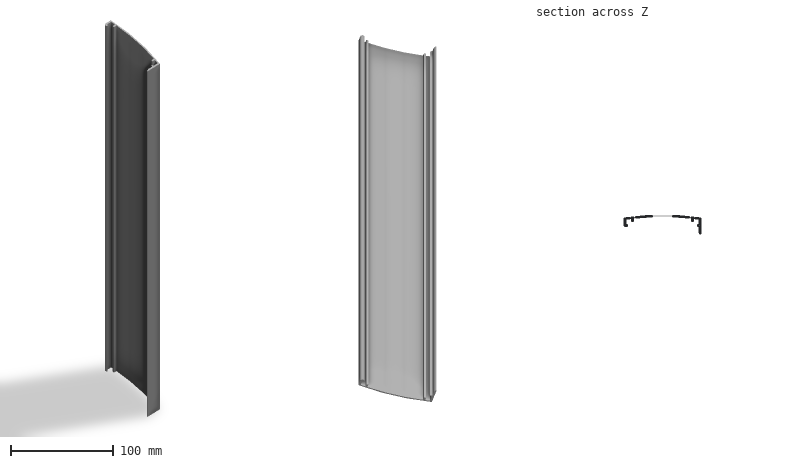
import cadquery as cq

length = 500.0
width = 75.0
depth = 18.5
wall = 2.0
web_thickness = 1.5
crown_rise = 3.0
short_leg_tip = -11.5
hook_top = -9.0
hook_peak = -10.5
hook_bottom = -11.5
hook_reach = 2.0
short_tip_bevel = 1.5
long_tip_bevel = 2.5
long_tip_width = 1.0
rib_offset = 7.0
rib_width = 2.0
rib_bottom = -6.5

half = width / 2
inner = half - wall
hook = inner - hook_reach
web_corner = -crown_rise


def extrude_outline(outline):
    return outline.close().extrude(length)


def make_web():
    """Arched web with equal thickness at its crown and corners."""
    outline = (
        cq.Workplane("XY")
        .moveTo(-half, web_corner)
        .threePointArc((0, 0), (half, web_corner))
        .lineTo(half, web_corner - web_thickness)
        .threePointArc((0, -web_thickness), (-half, web_corner - web_thickness))
    )
    return extrude_outline(outline)


def make_short_leg():
    """Left leg, ending in an inward snap hook."""
    outline = cq.Workplane("XY").polyline([
        (-half, web_corner),
        (-inner, web_corner),
        (-inner, hook_top),
        (-hook, hook_peak),
        (-inner, short_leg_tip),
        (-half + short_tip_bevel, short_leg_tip),
        (-half, short_leg_tip + short_tip_bevel),
    ])
    return extrude_outline(outline)


def make_long_leg():
    """Right leg, with a snap hook part way down and a tapered tip."""
    outline = cq.Workplane("XY").polyline([
        (half, web_corner),
        (inner, web_corner),
        (inner, hook_top),
        (hook, hook_peak),
        (inner, hook_bottom),
        (inner, -depth + long_tip_bevel),
        (half - long_tip_width, -depth),
        (half, -depth),
    ])
    return extrude_outline(outline)


def make_rib(side):
    """Small rib under the web; side is -1 for left and 1 for right."""
    center = side * (half - rib_offset - rib_width / 2)
    rib_top = web_corner
    return (
        cq.Workplane("XY")
        .center(center, (rib_top + rib_bottom) / 2)
        .rect(rib_width, rib_top - rib_bottom)
        .extrude(length)
    )


result = make_web().union(make_short_leg()).union(make_long_leg())
for side in (-1, 1):
    result = result.union(make_rib(side))